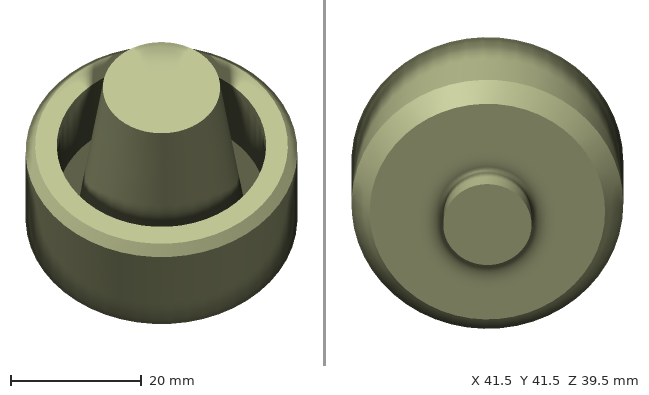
import cadquery as cq

total_height = 39.5
cup_bottom = 4.95
cup_top = 25.45
cup_floor = 12.2

cup_diameter = 41.55
bore_diameter = 32.0
top_chamfer = 1.45
bottom_chamfer = 2.8

plug_base_diameter = 25.0
plug_top_diameter = 17.95

stem_diameter = 13.5
stem_flare_radius = 0.7


def make_cup():
    """Chamfered round cup with a flat-bottomed bore open at the top."""
    cup = (
        cq.Workplane("XY", origin=(0, 0, cup_bottom))
        .circle(cup_diameter / 2)
        .extrude(cup_top - cup_bottom)
    )
    cup = cup.faces(">Z").edges().chamfer(top_chamfer)
    cup = cup.faces("<Z").edges().chamfer(bottom_chamfer)
    bore = (
        cq.Workplane("XY", origin=(0, 0, cup_floor))
        .circle(bore_diameter / 2)
        .extrude(cup_top - cup_floor)
    )
    return cup.cut(bore)


def make_plug():
    """Solid cone frustum, narrower at the top."""
    return cq.Workplane(
        cq.Solid.makeCone(
            plug_base_diameter / 2,
            plug_top_diameter / 2,
            total_height - cup_floor,
            pnt=cq.Vector(0, 0, cup_floor),
        )
    )


def make_stem():
    """Round stem with a concave quarter-circle flare at its upper end."""
    stem_radius = stem_diameter / 2
    flare_bottom = cup_bottom - stem_flare_radius
    flare_end_radius = stem_radius + stem_flare_radius
    return (
        cq.Workplane("XZ")
        .lineTo(stem_radius, 0)
        .lineTo(stem_radius, flare_bottom)
        .radiusArc((flare_end_radius, cup_bottom), stem_flare_radius)
        .lineTo(0, cup_bottom)
        .close()
        .revolve(360, (0, 0, 0), (0, 1, 0))
    )


cup = make_cup()
plug = make_plug()
stem = make_stem()

result = cq.Compound.makeCompound([cup.val(), plug.val(), stem.val()])